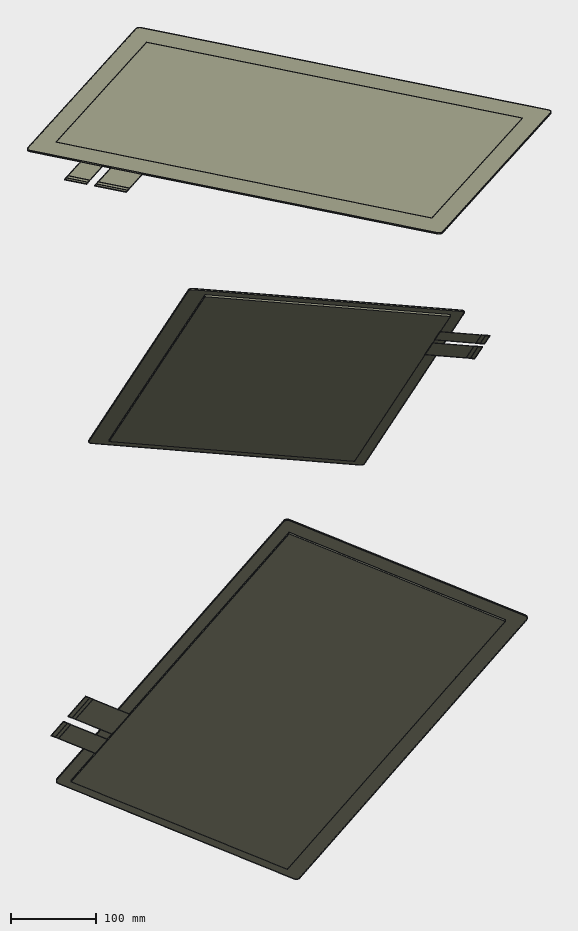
import cadquery as cq


stack_height = 4.3
glass_x = 526.5
glass_y = 330.0
glass_thickness = 1.8
glass_corner_radius = 5.0

window_x = 477.0
window_y = 268.5
window_depth = 0.1
window_left_margin = (glass_x - window_x) / 2
window_front_margin = (glass_y - window_y) / 2

panel_x = 496.5
panel_y = 293.5
panel_thickness = stack_height - glass_thickness
panel_left_margin = 12.5
panel_front_margin = 15.0

tails = [(68.0, 28.0), (106.5, 40.0)]
tail_reach = 45.5
tail_thickness = 0.25
tail_bottom = 1.0

stiffener_length = 10.0
stiffener_thickness = 0.25
contact_length = 5.5
contact_thickness = 0.25


def plate(corner, size):
    """A rectangular plate growing in +X, +Y and +Z from its lower front left corner."""
    return cq.Workplane("XY").box(*size, centered=False).translate(corner)


def cover_glass():
    """The rounded glass plate with its shallow window."""
    glass = plate((0, 0, panel_thickness), (glass_x, glass_y, glass_thickness))
    glass = glass.edges("|Z").fillet(glass_corner_radius)
    window = plate(
        (window_left_margin, window_front_margin, stack_height - window_depth),
        (window_x, window_y, window_depth),
    )
    return glass.cut(window)


def sensor_panel():
    """The plain panel under the glass."""
    return plate((panel_left_margin, panel_front_margin, 0), (panel_x, panel_y, panel_thickness))


def tail(left, width):
    """One tail, from the front face of the panel to its thickened tip."""
    tip = -tail_reach
    length = tail_reach + panel_front_margin
    tail_top = tail_bottom + tail_thickness
    strip = plate((left, tip, tail_bottom), (width, length, tail_thickness))
    stiffener = plate((left, tip, tail_top), (width, stiffener_length, stiffener_thickness))
    contact = plate(
        (left, tip, tail_bottom - contact_thickness),
        (width, contact_length, contact_thickness),
    )
    return strip.union(stiffener).union(contact)


result = cover_glass().union(sensor_panel())
for tail_left, tail_width in tails:
    result = result.union(tail(tail_left, tail_width))